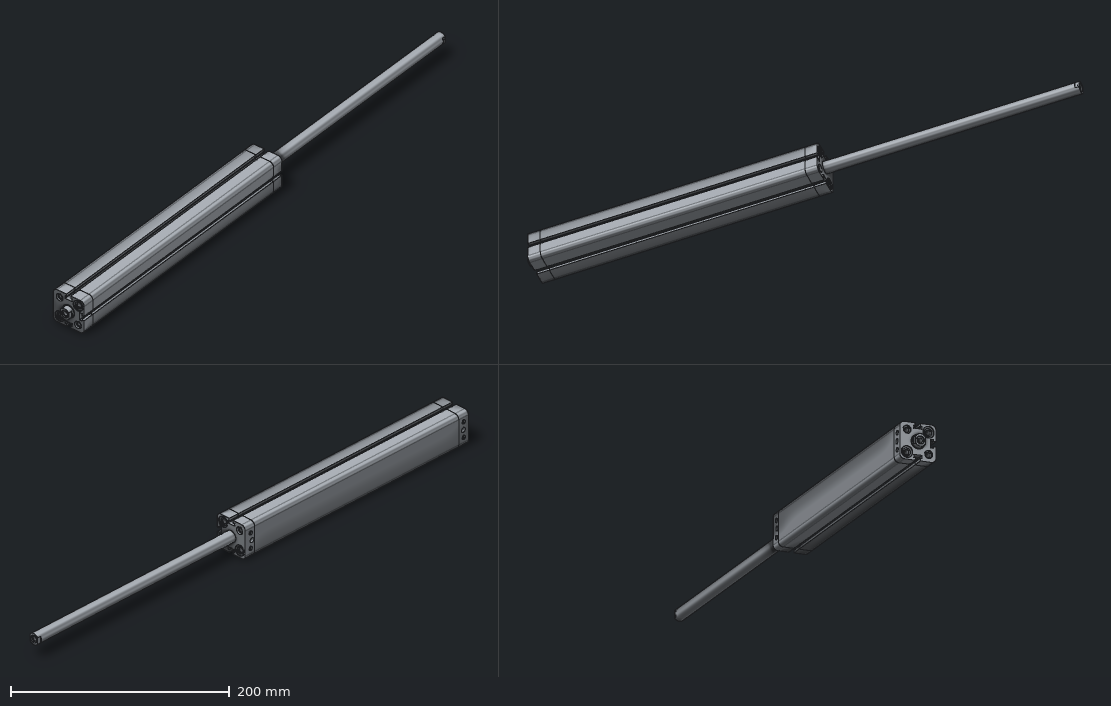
import cadquery as cq

overall_length = 550.0
front_stub_length = 6.0
front_cap_length = 12.5
tube_length = 264.0
rear_cap_length = 12.0

tube_front = front_cap_length
tube_rear = tube_front + tube_length
rear_face = tube_rear + rear_cap_length
rod_front_end = -front_stub_length
rod_rear_end = rod_front_end + overall_length

section_width = 36.5
half_width = section_width / 2
corner_radius = 4.7
cylinder_bore = 20.0

slot_opening = 5.0
slot_inner_width = 8.0
slot_depth = 5.5
slot_lip = 3.0
slot_angles = (0, 90, 180)

rod_diameter = 12.0
flat_spacing = 10.0
flat_length = 4.0
rod_recess_diameter = 7.5
rod_recess_depth = 1.5
rod_hole_diameter = 4.9
rod_hole_depth = 8.0

bushing_diameter = 14.0

corner_hole_spacing = 21.5
wide_step_diameter = 11.0
wide_step_depth = 0.2
counterbore_diameter = 7.5
counterbore_depth = 0.4
screw_hole_diameter = 4.9

side_hole_depth = 6.5
port_diameter = 4.9
side_hole_diameter = 4.1
side_hole_step_depth = 1.5
side_hole_core_diameter = 3.0
side_hole_spacing = 16.5
front_port_inset = 6.0
front_side_hole_inset = 6.5
rear_port_inset = 3.5
rear_side_hole_inset = 5.0


def block(width, height, y_start, y_end):
    """Box centred on the Y axis that runs from y_start to y_end."""
    box = cq.Workplane("XY").box(width, y_end - y_start, height)
    return box.translate((0, (y_start + y_end) / 2, 0))


def cylinder(diameter, y_start, y_end, x=0, z=0):
    """Round bar parallel to Y."""
    base = cq.Workplane("XZ", origin=(x, y_start, z))
    return base.circle(diameter / 2).extrude(y_start - y_end)


def t_slot(y_start, y_end):
    """Cutter for the T-slot in the top side."""
    floor = half_width - slot_depth
    lip = half_width - slot_lip
    outline = [
        (-slot_inner_width / 2, floor),
        (slot_inner_width / 2, floor),
        (slot_inner_width / 2, lip),
        (slot_opening / 2, lip),
        (slot_opening / 2, half_width),
        (-slot_opening / 2, half_width),
        (-slot_opening / 2, lip),
        (-slot_inner_width / 2, lip),
    ]
    base = cq.Workplane("XZ", origin=(0, y_start, 0))
    return base.polyline(outline).close().extrude(y_start - y_end)


def slotted_section(y_start, y_end):
    """Rounded square bar with a T-slot in three of its sides."""
    bar = block(section_width, section_width, y_start, y_end).edges("|Y").fillet(corner_radius)
    slot = t_slot(y_start, y_end)
    for angle in slot_angles:
        bar = bar.cut(slot.rotate((0, 0, 0), (0, 1, 0), angle))
    return bar


def side_hole(diameter, depth, y, z):
    """Cutter for a round hole in the -X side."""
    return cq.Workplane("YZ", origin=(-half_width, y, z)).circle(diameter / 2).extrude(depth)


def cut_corner_holes(cap, outer_face, joint):
    """Cut the four stepped corner holes, which open at the outer face and run to the joint."""
    inward = 5.5 if joint > outer_face else -5.5
    for x_side in (-1, 1):
        for z_side in (-1, 1):
            x = x_side * corner_hole_spacing / 2
            z = z_side * corner_hole_spacing / 2
            counterbore_floor = outer_face + inward * counterbore_depth
            cap = cap.cut(cylinder(screw_hole_diameter, outer_face, joint, x, z))
            cap = cap.cut(cylinder(counterbore_diameter, outer_face, counterbore_floor, x, z))
            if x_side == z_side:
                step_floor = outer_face + inward * wide_step_depth
                cap = cap.cut(cylinder(wide_step_diameter, outer_face, step_floor, x, z))
    return cap


def end_cap(outer_face, joint, port_y, side_hole_y, rod_opening):
    """End cap with a round opening for the rod or its bushing."""
    cap = slotted_section(min(outer_face, joint), max(outer_face, joint))
    cap = cap.cut(cylinder(rod_opening, outer_face, joint))
    cap = cut_corner_holes(cap, outer_face, joint)
    cap = cap.cut(side_hole(port_diameter, side_hole_depth, port_y, 0))
    for z in (-side_hole_spacing / 2, side_hole_spacing / 2):
        cap = cap.cut(side_hole(side_hole_diameter, side_hole_step_depth, side_hole_y, z))
        cap = cap.cut(side_hole(side_hole_core_diameter, side_hole_depth, side_hole_y, z))
    return cap


def make_rod():
    """Through rod, finished alike at both ends."""
    rod = cylinder(rod_diameter, rod_front_end, rod_rear_end)
    for end, inward in ((rod_front_end, 1), (rod_rear_end, -1)):
        flats_start, flats_end = sorted((end, end + inward * flat_length))
        waste = block(rod_diameter, rod_diameter, flats_start, flats_end)
        waste = waste.cut(block(flat_spacing, rod_diameter, flats_start, flats_end))
        rod = rod.cut(waste)
        rod = rod.cut(cylinder(rod_recess_diameter, end, end + inward * rod_recess_depth))
        rod = rod.cut(cylinder(rod_hole_diameter, end, end + inward * rod_hole_depth))
    return rod


tube = slotted_section(tube_front, tube_rear).cut(cylinder(cylinder_bore, tube_front, tube_rear))

front_cap = end_cap(
    outer_face=0,
    joint=tube_front,
    port_y=tube_front - front_port_inset,
    side_hole_y=tube_front - front_side_hole_inset,
    rod_opening=bushing_diameter,
)

rear_cap = end_cap(
    outer_face=rear_face,
    joint=tube_rear,
    port_y=tube_rear + rear_port_inset,
    side_hole_y=tube_rear + rear_side_hole_inset,
    rod_opening=rod_diameter,
)

bushing = cylinder(bushing_diameter, 0, tube_front).cut(cylinder(rod_diameter, 0, tube_front))

rod = make_rod()

result = cq.Compound.makeCompound(
    [tube.val(), front_cap.val(), rear_cap.val(), bushing.val(), rod.val()]
)